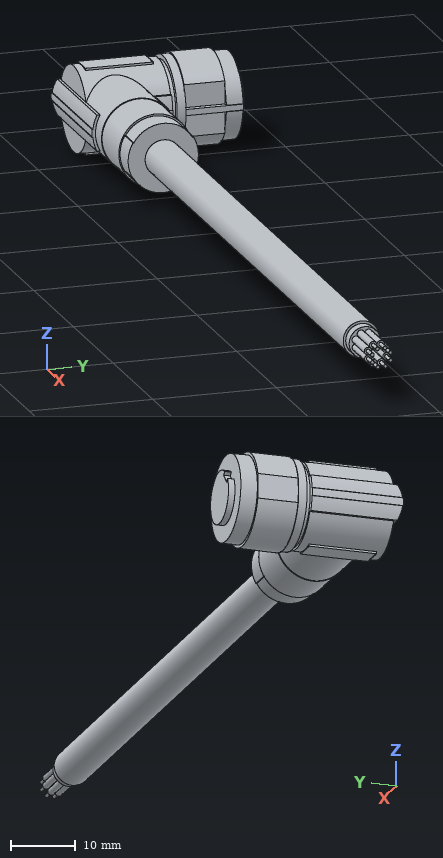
import cadquery as cq
import math


body_radius = 6.95
body_bottom = -5.3
body_top = 8.4
panel_half_width = 2.0
panel_height = 7.0
panel_bottom = -4.0
panel_top = 7.0

arm_radius = 6.0
arm_end = 16.3
collar_radius = 5.9
collar_end = 24.7
gland_radius = 5.6
gland_end = 28.8
gland_pad_radius = 5.7
gland_pad_width = 5.8

band_width = 5.8
band_thickness = 0.45
band_end = 13.25
rib_width = 1.3
rib_rise = 0.1
rib_thickness = band_thickness + rib_rise

neck_radius = 6.5
flange_start = 9.15
flange_radius = 7.25
grip_start = 10.6
grip_radius = 7.495
grip_end = 17.2
sleeve_radius = 7.0
nut_end = 19.9
left_flat_half_width = 2.0
left_flat_offset = math.sqrt(grip_radius**2 - left_flat_half_width**2)
right_flat_offset = 6.2
marker_width = 1.0
marker_offset = 7.15

insert_radius = 4.25
insert_end = 20.95
keyway_width = 2.0
keyway_depth = 0.8
keyway_angle = 140.0

cable_radius = 2.95
cable_end = 128.65
sheath_radius = 2.55
sheath_end = 130.4
wire_count = 8
wire_radius = 0.6
wire_circle_radius = 1.6
wire_end = 136.6
wire_start_angle = 24.0
strand_radius = 0.3
strand_end = 138.75


def cylinder_x(radius, start, end, y=0.0, z=0.0):
    """Cylinder parallel to the X axis between two X stations."""
    return cq.Workplane("YZ", origin=(start, y, z)).circle(radius).extrude(end - start)


def cylinder_y(radius, start, end):
    """Cylinder on the Y axis between two Y stations."""
    return cq.Workplane("XZ", origin=(0, start, 0)).circle(radius).extrude(start - end)


def box_between(x_range, y_range, z_range):
    """Axis-aligned box given by its lower and upper limits."""
    corner = (x_range[0], y_range[0], z_range[0])
    size = [upper - lower for lower, upper in (x_range, y_range, z_range)]
    return cq.Workplane("XY", origin=corner).box(*size, centered=False)


def elbow_band(width, thickness):
    """Strip of a thickened elbow, mitred where the two cylinders meet at the corner."""
    body_outer = body_radius + thickness
    arm_outer = arm_radius + thickness
    corner = cylinder_y(body_outer, -arm_outer, 0).intersect(
        cylinder_x(arm_outer, -body_outer, 0)
    )
    elbow = corner.union(cylinder_y(body_outer, 0, body_top))
    elbow = elbow.union(cylinder_x(arm_outer, 0, band_end))
    reach = 2 * band_end
    return elbow.intersect(cq.Workplane("XY").box(2 * reach, 2 * reach, width))


def make_elbow():
    """Body, outlet arm, grip band and the two raised label panels."""
    elbow = cylinder_y(body_radius, body_bottom, body_top)
    elbow = elbow.union(cylinder_x(arm_radius, 0, arm_end))
    elbow = elbow.union(elbow_band(band_width, band_thickness))
    elbow = elbow.union(elbow_band(rib_width, rib_thickness))
    panels = box_between(
        (-panel_half_width, panel_half_width),
        (panel_bottom, panel_top),
        (-panel_height, panel_height),
    )
    return elbow.union(panels)


def make_outlet():
    """Collar and the cable gland with its two raised pads."""
    collar = cylinder_x(collar_radius, arm_end, collar_end)
    gland = cylinder_x(gland_radius, collar_end, gland_end)
    pads = cylinder_x(gland_pad_radius, collar_end, gland_end).intersect(
        box_between(
            (collar_end, gland_end),
            (-gland_pad_radius, gland_pad_radius),
            (-gland_pad_width / 2, gland_pad_width / 2),
        )
    )
    return collar.union(gland).union(pads)


def make_nut():
    """Stepped coupling nut with a flat on each side and a marker strip on the +X side."""
    grip = cylinder_y(grip_radius, grip_start, grip_end).intersect(
        box_between(
            (-left_flat_offset, right_flat_offset),
            (grip_start, grip_end),
            (-grip_radius, grip_radius),
        )
    )
    nut = cylinder_y(neck_radius, body_top, flange_start)
    nut = nut.union(cylinder_y(flange_radius, flange_start, grip_start))
    nut = nut.union(grip)
    nut = nut.union(cylinder_y(sleeve_radius, grip_end, nut_end))
    marker = box_between(
        (0, marker_offset),
        (grip_start, nut_end),
        (-marker_width / 2, marker_width / 2),
    )
    return nut.union(marker)


def make_insert():
    """Contact insert standing proud of the nut, notched by a keyway."""
    insert = cylinder_y(insert_radius, nut_end, insert_end)
    keyway = box_between(
        (insert_radius - keyway_depth, insert_radius + keyway_depth),
        (nut_end, insert_end),
        (-keyway_width / 2, keyway_width / 2),
    )
    return insert.cut(keyway.rotate((0, 0, 0), (0, 1, 0), -keyway_angle))


def make_cable():
    """Cable jacket, inner sheath and a ring of stripped wires."""
    cable = cylinder_x(cable_radius, gland_end, cable_end)
    cable = cable.union(cylinder_x(sheath_radius, cable_end, sheath_end))
    for index in range(wire_count):
        angle = math.radians(wire_start_angle + index * 360.0 / wire_count)
        y = -wire_circle_radius * math.cos(angle)
        z = -wire_circle_radius * math.sin(angle)
        cable = cable.union(cylinder_x(wire_radius, sheath_end, wire_end, y, z))
        cable = cable.union(cylinder_x(strand_radius, wire_end, strand_end, y, z))
    return cable


result = make_elbow().union(make_outlet()).union(make_nut()).union(make_insert()).union(make_cable())